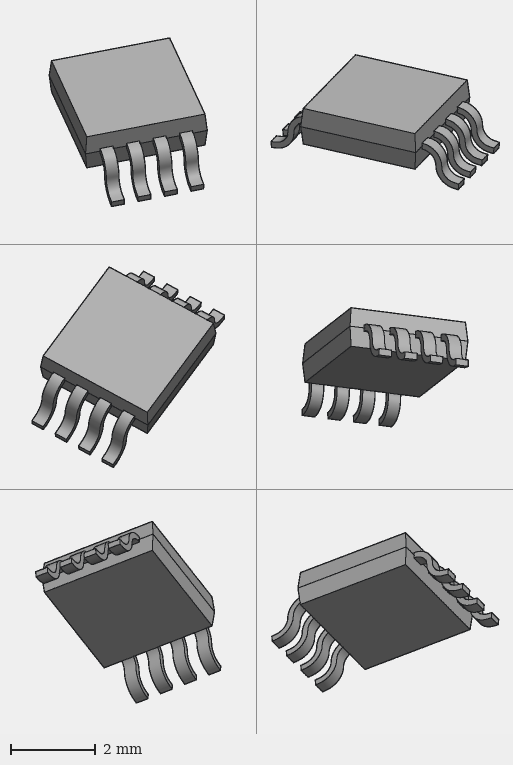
import cadquery as cq
import math

overall_length = 4.9
body_width = 3.0
body_taper = 0.045
half_height = 0.48
standoff = 0.48
parting_z = standoff + half_height

lead_count = 4
lead_pitch = 0.65
lead_width = 0.315
lead_thickness = 0.155
lead_top_z = 1.035
lead_side_shift = 0.005
bend_joint_z = 0.52
foot_length = 0.125
foot_tilt = math.radians(6.0)

foot_outer_radius = (bend_joint_z - foot_length * math.sin(foot_tilt)) / math.cos(foot_tilt)
foot_inner_radius = foot_outer_radius - lead_thickness
foot_center_x = (
    overall_length / 2
    - foot_length * math.cos(foot_tilt)
    + foot_inner_radius * math.sin(foot_tilt)
)

knee_x = foot_center_x - foot_inner_radius
inner_knee_x = knee_x - lead_thickness
shoulder_outer_radius = lead_top_z - bend_joint_z
shoulder_inner_radius = shoulder_outer_radius - lead_thickness
shoulder_center_x = knee_x - shoulder_outer_radius
lead_root_x = body_width / 2 - 2 * body_taper


def make_body_half(direction):
    """Square frustum, widest at the parting plane, growing up (1) or down (-1)."""
    end_width = body_width - 2 * body_taper
    return (
        cq.Workplane("XY", origin=(0, 0, parting_z))
        .rect(body_width, body_width)
        .workplane(offset=direction * half_height)
        .rect(end_width, end_width)
        .loft(ruled=True)
    )


def polar_point(center_x, radius, angle):
    """Point on a bend centred at the joint height, angle counter-clockwise from +X."""
    return (center_x + radius * math.cos(angle), bend_joint_z + radius * math.sin(angle))


def foot_tip(bend_end):
    """Far end of the straight foot face that starts at bend_end."""
    x, z = bend_end
    return (x + foot_length * math.cos(foot_tilt), z - foot_length * math.sin(foot_tilt))


def make_lead(side, y_center, body_halves):
    """S-bent strip on the right (1) or left (-1), trimmed to butt on the body's side."""
    shoulder_middle = math.pi / 4
    foot_end = 1.5 * math.pi - foot_tilt
    foot_middle = (math.pi + foot_end) / 2
    foot_top = polar_point(foot_center_x, foot_inner_radius, foot_end)
    foot_bottom = polar_point(foot_center_x, foot_outer_radius, foot_end)
    lead = (
        cq.Workplane("XZ")
        .moveTo(lead_root_x, lead_top_z)
        .lineTo(shoulder_center_x, lead_top_z)
        .threePointArc(
            polar_point(shoulder_center_x, shoulder_outer_radius, shoulder_middle),
            (knee_x, bend_joint_z),
        )
        .threePointArc(polar_point(foot_center_x, foot_inner_radius, foot_middle), foot_top)
        .lineTo(*foot_tip(foot_top))
        .lineTo(*foot_tip(foot_bottom))
        .lineTo(*foot_bottom)
        .threePointArc(
            polar_point(foot_center_x, foot_outer_radius, foot_middle),
            (inner_knee_x, bend_joint_z),
        )
        .threePointArc(
            polar_point(shoulder_center_x, shoulder_inner_radius, shoulder_middle),
            (shoulder_center_x, lead_top_z - lead_thickness),
        )
        .lineTo(lead_root_x, lead_top_z - lead_thickness)
        .close()
        .extrude(lead_width / 2, both=True)
    )
    if side < 0:
        lead = lead.mirror("YZ")
    lead = lead.translate((0, y_center, 0))
    for half in body_halves:
        lead = lead.cut(half)
    return lead


upper_body = make_body_half(1)
lower_body = make_body_half(-1)

leads = []
for side in (-1, 1):
    for index in range(lead_count):
        row_y = (index - (lead_count - 1) / 2) * lead_pitch
        y_center = row_y - side * lead_side_shift
        leads.append(make_lead(side, y_center, (upper_body, lower_body)))

result = cq.Compound.makeCompound([
    upper_body.val(),
    lower_body.val(),
    *[solid for lead in leads for solid in lead.solids().vals()],
])